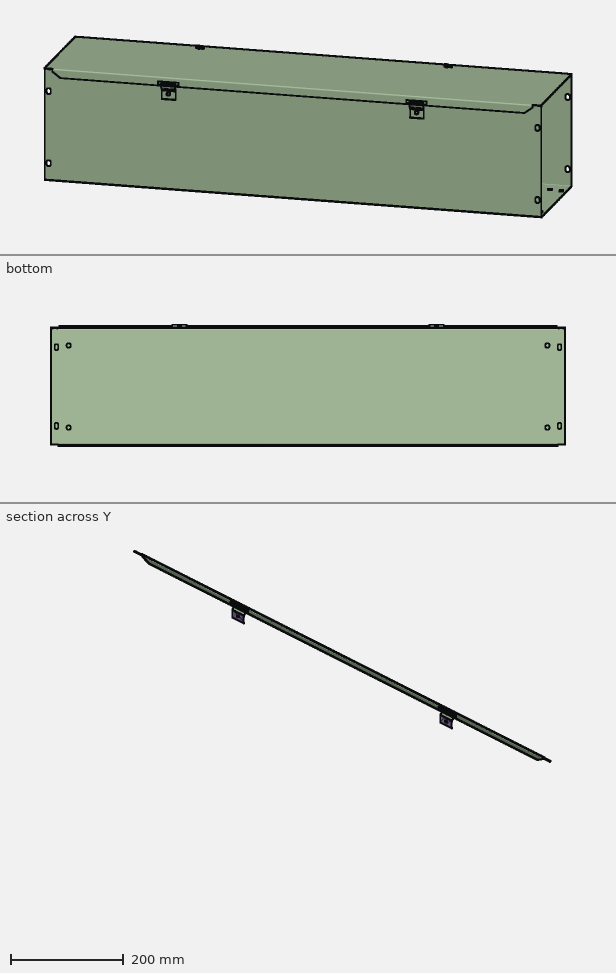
import cadquery as cq

length = 914.4
half_length = length / 2
overall_width = 216.04
overall_height = 212.27
sheet = 1.52
bend_radius = 2.5
stations = (-length / 4, length / 4)

cover_width = 214.0
cover_rear = cover_width / 2
cover_front = -cover_width / 2
cover_top = 208.9
cover_bottom = cover_top - sheet
flange_bottom = cover_top - 16.0
rear_flange_inset = 13.0
front_flange_inset = 15.0
flange_chamfer_top = cover_top - 5.0
flange_chamfer = 15.0

trough_front = -102.1
trough_rear = 104.4
cover_gap = 0.6
trough_middle = (trough_front + trough_rear) / 2
trough_top = cover_bottom - cover_gap
lip_width = 20.0
lip_end_inset = 9.5
lip_chamfer = 9.5

mount_slot_length = 11.1
wall_slot_width = 7.94
wall_slot_inset = 7.14
wall_slot_pitch = 133.35
wall_slot_middle_z = 99.0
floor_slot_width = 6.35
floor_slot_inset = 10.0
floor_slot_pitch = 140.0
drain_hole_diameter = 7.94
drain_hole_inset = 31.75
drain_hole_pitch = 146.0

stud_y = cover_rear - 14.2
stud_head_diameter = 6.35
stud_shank_diameter = 4.09
stud_collar_diameter = 6.35
stud_collar_height = 3.0
stud_tip_diameter = 4.59
stud_tip_height = 3.0
keyhole_diameter = 11.9
keyhole_offset = 6.0
keyhole_slot_width = 4.59

latch_width = 25.4
latch_sheet = 0.8
latch_front = cover_rear - overall_width
latch_slot_length = 38.1
latch_slot_top = cover_top - 8.3
latch_slot_bottom = cover_top - 13.7
hook_top = cover_top - 10.0
hook_depth = 1.5
bow_middle_z = cover_top - 15.0
bow_bottom_z = cover_top - 22.0
step_top_z = bow_bottom_z - 2.5
step_bottom_z = step_top_z - 1.5
step_height = 1.0
latch_bottom = cover_top - 41.5
latch_toe_depth = 2.5
rivet_z = cover_top - 30.5
rivet_shank_diameter = 4.09
rivet_head_diameter = 6.35
rivet_head_height = 4.0
rivet_collar_diameter = 6.35
rivet_collar_height = 2.5
rivet_tip_diameter = 4.59
rivet_tip_height = 2.5


def block(x0, x1, y0, y1, z0, z1):
    return cq.Workplane("XY").box(x1 - x0, y1 - y0, z1 - z0, centered=False).translate((x0, y0, z0))


def upright_rod(diameter, x, y, z0, z1):
    return cq.Workplane("XY", origin=(x, y, z0)).circle(diameter / 2).extrude(z1 - z0)


def cross_rod(diameter, x, z, y0, y1):
    return cq.Workplane("XZ", origin=(x, y0, z)).circle(diameter / 2).extrude(y0 - y1)


def tapered_strip(workplane, inset, chamfer, straight_edge, taper_start, far_edge, thickness):
    """Strip along X whose two far corners are cut off at an angle."""
    wide = half_length - inset
    narrow = wide - chamfer
    outline = [(-wide, straight_edge), (wide, straight_edge), (wide, taper_start),
               (narrow, far_edge), (-narrow, far_edge), (-wide, taper_start)]
    return workplane.polyline(outline).close().extrude(thickness)


def mount_slot(workplane, width, depth):
    return workplane.slot2D(mount_slot_length, width, 90).extrude(depth)


def make_trough():
    shell = block(-half_length, half_length, trough_front, trough_rear, 0, trough_top)
    shell = shell.edges("|X").fillet(bend_radius)
    cavity = block(-half_length, half_length, trough_front + sheet, trough_rear - sheet,
                   sheet, trough_top - sheet)
    trough = shell.cut(cavity.edges("|X").fillet(bend_radius - sheet))

    lip_level = trough_top - sheet
    opening = block(-half_length, half_length, trough_front + bend_radius, trough_rear - bend_radius,
                    lip_level, trough_top)
    for wall, inward in ((trough_front, 1), (trough_rear, -1)):
        bend_line = wall + inward * bend_radius
        plane = cq.Workplane("XY", origin=(0, 0, lip_level))
        lip = tapered_strip(plane, lip_end_inset, lip_chamfer, wall, bend_line,
                            wall + inward * lip_width, sheet)
        opening = opening.cut(lip)
    trough = trough.cut(opening)

    for end in (-1, 1):
        wall_x = end * (half_length - wall_slot_inset)
        floor_x = end * (half_length - floor_slot_inset)
        drain_x = end * (half_length - drain_hole_inset)
        for side in (-1, 1):
            wall_z = wall_slot_middle_z + side * wall_slot_pitch / 2
            floor_y = trough_middle + side * floor_slot_pitch / 2
            drain_y = trough_middle + side * drain_hole_pitch / 2
            wall_plane = cq.Workplane("XZ", origin=(wall_x, trough_rear, wall_z))
            floor_plane = cq.Workplane("XY", origin=(floor_x, floor_y, 0))
            trough = trough.cut(mount_slot(wall_plane, wall_slot_width, trough_rear - trough_front))
            trough = trough.cut(mount_slot(floor_plane, floor_slot_width, sheet))
            trough = trough.cut(upright_rod(drain_hole_diameter, drain_x, drain_y, 0, sheet))

    for x in stations:
        trough = trough.cut(upright_rod(stud_shank_diameter, x, stud_y, lip_level, trough_top))
        trough = trough.cut(cross_rod(rivet_shank_diameter, x, rivet_z,
                                      trough_front, trough_front + sheet))
    return trough


def make_cover():
    outer = block(-half_length, half_length, cover_front, cover_rear, flange_bottom, cover_top)
    inner = block(-half_length, half_length, cover_front + sheet, cover_rear - sheet,
                  flange_bottom, cover_bottom)
    cover = outer.edges("|X and >Z").fillet(bend_radius)
    cover = cover.cut(inner.edges("|X and >Z").fillet(bend_radius - sheet))

    for bend_line, inset in ((cover_front + bend_radius, front_flange_inset),
                             (cover_rear, rear_flange_inset)):
        margin = block(-half_length, half_length, bend_line - bend_radius, bend_line,
                       flange_bottom, cover_top)
        plane = cq.Workplane("XZ", origin=(0, bend_line, 0))
        flange = tapered_strip(plane, inset, flange_chamfer, cover_top,
                               flange_chamfer_top, flange_bottom, bend_radius)
        cover = cover.cut(margin.cut(flange))

    for x in stations:
        slot_half = keyhole_slot_width / 2
        slot_end = x + keyhole_offset
        cover = cover.cut(upright_rod(keyhole_diameter, slot_end, stud_y, cover_bottom, cover_top))
        cover = cover.cut(upright_rod(keyhole_slot_width, x, stud_y, cover_bottom, cover_top))
        cover = cover.cut(block(x, slot_end, stud_y - slot_half, stud_y + slot_half,
                                cover_bottom, cover_top))
        cover = cover.cut(block(x - latch_slot_length / 2, x + latch_slot_length / 2,
                                cover_front, cover_front + sheet, latch_slot_bottom, latch_slot_top))
    return cover


def make_stud(x):
    collar_top = trough_top - sheet
    collar_base = collar_top - stud_collar_height
    tip = upright_rod(stud_tip_diameter, x, stud_y, collar_base - stud_tip_height, collar_base)
    collar = upright_rod(stud_collar_diameter, x, stud_y, collar_base, collar_top)
    shank = upright_rod(stud_shank_diameter, x, stud_y, collar_top, cover_top)
    head = upright_rod(stud_head_diameter, x, stud_y, cover_top, overall_height)
    return tip.union(collar).union(shank).union(head)


def make_latch(x):
    """Bent strip: a riveted foot with a toe, a raised step, and a bow that hooks into the cover."""
    foot_face = trough_front - latch_sheet
    step_face = foot_face - step_height
    strip = (
        cq.Workplane("YZ", origin=(x - latch_width / 2, 0, 0))
        .moveTo(trough_front, latch_bottom)
        .lineTo(trough_front, bow_bottom_z)
        .threePointArc((latch_front + latch_sheet, bow_middle_z),
                       (cover_front - latch_sheet / 2, hook_top - latch_sheet))
        .lineTo(cover_front + hook_depth, hook_top - latch_sheet)
        .lineTo(cover_front + hook_depth, hook_top)
        .lineTo(cover_front - latch_sheet, hook_top)
        .threePointArc((latch_front, bow_middle_z), (step_face, bow_bottom_z - latch_sheet))
        .lineTo(step_face, step_top_z)
        .lineTo(foot_face, step_bottom_z)
        .lineTo(foot_face, latch_bottom + latch_sheet)
        .lineTo(trough_front - latch_toe_depth, latch_bottom + latch_sheet)
        .lineTo(trough_front - latch_toe_depth, latch_bottom)
        .close()
        .extrude(latch_width)
    )
    return strip.cut(cross_rod(rivet_shank_diameter, x, rivet_z, foot_face, trough_front))


def make_rivet(x):
    head_base = trough_front - latch_sheet
    collar_base = trough_front + sheet
    collar_end = collar_base + rivet_collar_height
    head = cross_rod(rivet_head_diameter, x, rivet_z, head_base - rivet_head_height, head_base)
    shank = cross_rod(rivet_shank_diameter, x, rivet_z, head_base, collar_base)
    collar = cross_rod(rivet_collar_diameter, x, rivet_z, collar_base, collar_end)
    tip = cross_rod(rivet_tip_diameter, x, rivet_z, collar_end, collar_end + rivet_tip_height)
    return head.union(shank).union(collar).union(tip)


trough = make_trough()
cover = make_cover()
studs = [make_stud(x).val() for x in stations]
latches = [make_latch(x).val() for x in stations]
rivets = [make_rivet(x).val() for x in stations]

result = cq.Compound.makeCompound([trough.val(), cover.val(), *studs, *latches, *rivets])